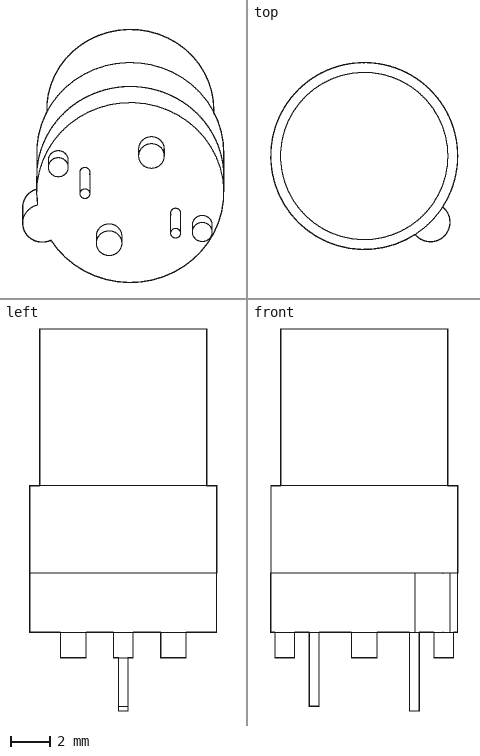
import cadquery as cq
import math

LONG_LEAD_TIP_Z = 0
SHORT_LEAD_TIP_Z = 0.23
FOOT_BOTTOM_Z = 2.7
BASE_BOTTOM_Z = 4.0
BASE_TOP_Z = 7.0
COLLAR_TOP_Z = 11.45
CAP_TOP_Z = 19.4

BODY_DIAMETER = 9.5
CAP_DIAMETER = 8.5

TAB_DIAMETER = 2.0
TAB_ANGLE = -45

SIDE_FOOT_DIAMETER = 1.0
SIDE_FOOT_OFFSET = 4.04
LARGE_FOOT_DIAMETER = 1.3
LEAD_DIAMETER = 0.5
PITCH_RADIUS = 2.55


def cylinder(diameter, bottom_z, top_z, x=0, y=0):
    """Upright solid cylinder between two heights."""
    return (
        cq.Workplane("XY", origin=(x, y, bottom_z))
        .circle(diameter / 2)
        .extrude(top_z - bottom_z)
    )


def make_base():
    """Base disc with its locating tab."""
    rim_radius = BODY_DIAMETER / 2
    tab_x = rim_radius * math.cos(math.radians(TAB_ANGLE))
    tab_y = rim_radius * math.sin(math.radians(TAB_ANGLE))
    disc = cylinder(BODY_DIAMETER, BASE_BOTTOM_Z, BASE_TOP_Z)
    tab = cylinder(TAB_DIAMETER, BASE_BOTTOM_Z, BASE_TOP_Z, tab_x, tab_y)
    return disc.union(tab)


def make_collar():
    """Plain disc resting on the base."""
    return cylinder(BODY_DIAMETER, BASE_TOP_Z, COLLAR_TOP_Z)


def make_cap():
    """Tall, narrower cylinder standing on the collar."""
    return cylinder(CAP_DIAMETER, COLLAR_TOP_Z, CAP_TOP_Z)


def make_side_foot(x):
    """Small foot near the rim, on the X axis."""
    return cylinder(SIDE_FOOT_DIAMETER, FOOT_BOTTOM_Z, BASE_BOTTOM_Z, x=x)


def make_large_foot(y):
    """Larger foot on the Y axis."""
    return cylinder(LARGE_FOOT_DIAMETER, FOOT_BOTTOM_Z, BASE_BOTTOM_Z, y=y)


def make_lead(x, tip_z):
    """Thin lead hanging from the base, on the X axis."""
    return cylinder(LEAD_DIAMETER, tip_z, BASE_BOTTOM_Z, x=x)


base = make_base()
collar = make_collar()
cap = make_cap()
side_feet = [make_side_foot(side * SIDE_FOOT_OFFSET) for side in (-1, 1)]
large_feet = [make_large_foot(side * PITCH_RADIUS) for side in (-1, 1)]
leads = [
    make_lead(side * PITCH_RADIUS, tip_z)
    for side, tip_z in ((-1, SHORT_LEAD_TIP_Z), (1, LONG_LEAD_TIP_Z))
]

result = cq.Compound.makeCompound(
    [body.val() for body in (base, collar, cap, *side_feet, *large_feet, *leads)]
)